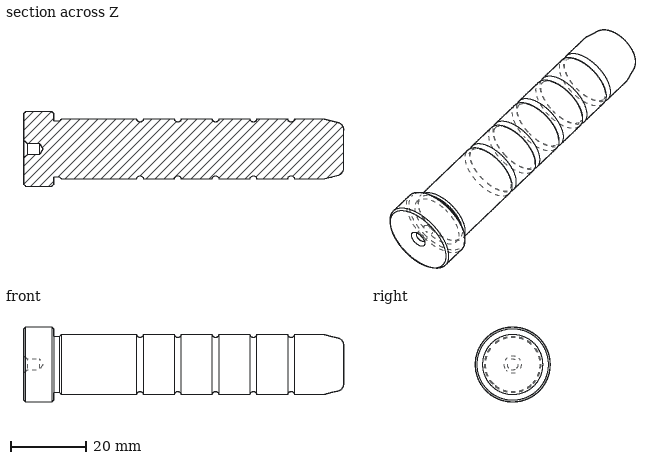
import cadquery as cq
import math

length = 85.0
head_diameter = 20.0
head_length = 8.0
head_chamfer = 0.5
shaft_diameter = 16.0

neck_diameter = 15.0
neck_length = 2.0
neck_ramp = 0.5

groove_count = 5
groove_pitch = 10.0
first_groove_start = 30.0
groove_width = 1.8
groove_depth = 0.8

lead_in_length = 5.2
lead_in_angle = 14.0
nose_radius = 2.0

countersink_diameter = 4.6
hole_diameter = 2.9
countersink_depth = 1.0
hole_depth = 4.25
drill_point_angle = 118.0

head_radius = head_diameter / 2
shaft_radius = shaft_diameter / 2
neck_radius = neck_diameter / 2


def revolve_about_x(profile):
    """Revolve a closed (X, radius) profile around the X axis."""
    return profile.close().revolve(360, (0, 0, 0), (1, 0, 0))


def make_body():
    """Head, undercut, shaft and tapered lead-in with a rounded nose."""
    neck_end = head_length + neck_length
    tilt = math.radians(lead_in_angle)
    taper_start = length - lead_in_length
    nose_center_x = length - nose_radius
    tangent_x = nose_center_x + nose_radius * math.sin(tilt)
    tangent_radius = shaft_radius - (tangent_x - taper_start) * math.tan(tilt)
    nose_center_radius = tangent_radius - nose_radius * math.cos(tilt)
    middle = (tilt + math.pi / 2) / 2
    arc_middle = (
        nose_center_x + nose_radius * math.sin(middle),
        nose_center_radius + nose_radius * math.cos(middle),
    )
    profile = (
        cq.Workplane("XY")
        .lineTo(0, head_radius - head_chamfer)
        .lineTo(head_chamfer, head_radius)
        .lineTo(head_length - head_chamfer, head_radius)
        .lineTo(head_length, head_radius - head_chamfer)
        .lineTo(head_length, neck_radius)
        .lineTo(neck_end - neck_ramp, neck_radius)
        .lineTo(neck_end, shaft_radius)
        .lineTo(taper_start, shaft_radius)
        .lineTo(tangent_x, tangent_radius)
        .threePointArc(arc_middle, (length, nose_center_radius))
        .lineTo(length, 0)
    )
    return revolve_about_x(profile)


def make_groove(start):
    """Ring with a round-bottomed section, to be cut from the shaft."""
    end = start + groove_width
    floor_radius = shaft_radius - groove_depth
    profile = (
        cq.Workplane("XY")
        .moveTo(start, head_radius)
        .lineTo(start, shaft_radius)
        .threePointArc(((start + end) / 2, floor_radius), (end, shaft_radius))
        .lineTo(end, head_radius)
    )
    return revolve_about_x(profile)


def make_center_hole():
    """Countersunk blind hole with a conical drill point."""
    hole_radius = hole_diameter / 2
    point_length = hole_radius / math.tan(math.radians(drill_point_angle / 2))
    profile = (
        cq.Workplane("XY")
        .lineTo(0, countersink_diameter / 2)
        .lineTo(countersink_depth, hole_radius)
        .lineTo(hole_depth, hole_radius)
        .lineTo(hole_depth + point_length, 0)
    )
    return revolve_about_x(profile)


result = make_body()
for index in range(groove_count):
    result = result.cut(make_groove(first_groove_start + index * groove_pitch))
result = result.cut(make_center_hole())